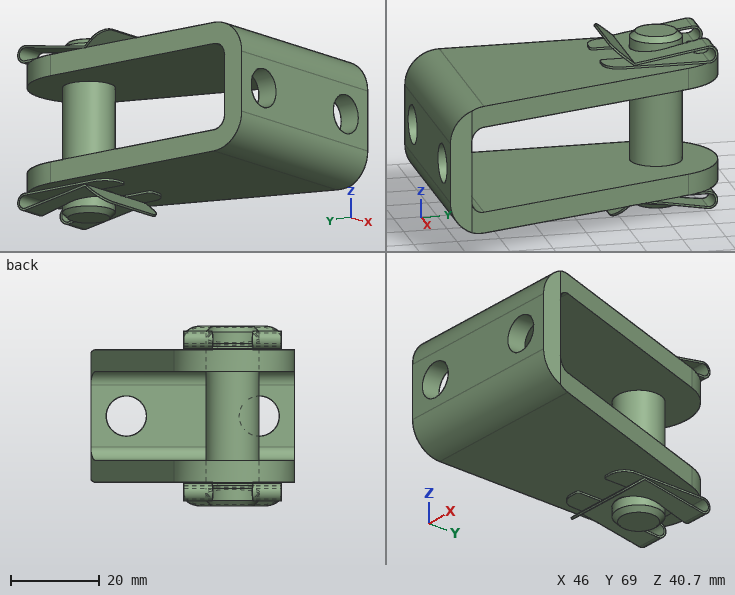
import cadquery as cq
import math


bracket_height = 30.0
wall = 4.95
bend_outer_radius = 8.0
bend_inner_radius = bend_outer_radius - wall
bracket_width = 46.0
bracket_length = 68.95
nose_radius = 14.0
half_height = bracket_height / 2
left_x = -nose_radius
right_x = left_x + bracket_width
back_y = nose_radius - bracket_length
straight_edge = 4.95

mount_hole_diameter = 9.0
mount_hole_offset = 8.0
mount_hole_spacing = 30.0

pin_diameter = 12.0
pin_length = 40.55
pin_chamfer = 1.25
groove_diameter = 9.0
groove_width = 1.4

overall_height = 40.7
clip_width = 22.05
sheet = 0.5
clip_gap = 0.2
plate_end_y = -14.15
plate_corner_radius = 4.0
slot_corner_radius = 0.8
loop_y = 9.8
loop_outer_radius = 2.0
loop_inner_radius = loop_outer_radius - sheet
leg_slope = math.radians(9.5)
lip_slope = math.radians(39.7)
lip_bend_y = -7.6
lip_corner_radius = 4.0
head_hole_radius = 6.1
opening_end_half_width = 4.4
plate_front_radius = 8.75
plate_front_fillet = 0.95
plate_bottom = half_height + clip_gap
plate_top = plate_bottom + sheet


def make_bracket():
    channel = (
        cq.Workplane("XY")
        .box(bracket_width, bracket_length, bracket_height)
        .edges("|X and <Y").fillet(bend_outer_radius)
    )
    inside = (
        cq.Workplane("XY")
        .box(bracket_width, bracket_length, bracket_height - 2 * wall)
        .edges("|X and <Y").fillet(bend_inner_radius)
        .translate((0, wall, 0))
    )
    channel = channel.cut(inside).translate(
        (left_x + bracket_width / 2, back_y + bracket_length / 2, 0)
    )

    corner_y = back_y + straight_edge
    corner_distance = math.hypot(right_x, corner_y)
    tangent_angle = math.atan2(corner_y, right_x) + math.acos(nose_radius / corner_distance)
    tangent_point = (nose_radius * math.cos(tangent_angle), nose_radius * math.sin(tangent_angle))
    plan = (
        cq.Workplane("XY", origin=(0, 0, -half_height))
        .moveTo(left_x, back_y)
        .lineTo(right_x, back_y)
        .lineTo(right_x, corner_y)
        .lineTo(*tangent_point)
        .threePointArc((0, nose_radius), (left_x, 0))
        .close()
        .extrude(bracket_height)
    )
    pin_hole = cq.Workplane("XY").circle(pin_diameter / 2).extrude(half_height, both=True)
    first_hole_x = left_x + mount_hole_offset
    mount_holes = (
        cq.Workplane("XZ", origin=(0, back_y, 0))
        .pushPoints([(first_hole_x, 0), (first_hole_x + mount_hole_spacing, 0)])
        .circle(mount_hole_diameter / 2)
        .extrude(-wall)
    )
    return channel.intersect(plan).cut(pin_hole).cut(mount_holes)


def make_pin():
    pin = (
        cq.Workplane("XY")
        .circle(pin_diameter / 2)
        .extrude(pin_length / 2, both=True)
        .faces("<Z or >Z").chamfer(pin_chamfer)
    )
    for groove_start in (half_height, -half_height - groove_width):
        groove = (
            cq.Workplane("XY", origin=(0, 0, groove_start))
            .circle(pin_diameter / 2)
            .circle(groove_diameter / 2)
            .extrude(groove_width)
        )
        pin = pin.cut(groove)
    return pin


def make_clip_strip():
    """Bent strip: flat plate, loop, sloping leg and turned-up lip."""
    loop_z = plate_bottom + loop_outer_radius

    def loop_point(radius, angle):
        return (loop_y + radius * math.cos(angle), loop_z + radius * math.sin(angle))

    leg_angle = math.pi / 2 + leg_slope
    middle_angle = leg_slope / 2
    leg_start = loop_point(loop_inner_radius, leg_angle)
    bend_z = leg_start[1] - (leg_start[0] - lip_bend_y) * math.tan(leg_slope)

    mitre = sheet / math.cos((leg_slope + lip_slope) / 2)
    mitre_angle = (lip_slope - leg_slope) / 2
    bend_top = (lip_bend_y + mitre * math.sin(mitre_angle), bend_z + mitre * math.cos(mitre_angle))

    lip_top_z = overall_height / 2
    lip_rise = lip_top_z - sheet * math.cos(lip_slope) - bend_z
    lip_end = (lip_bend_y - lip_rise / math.tan(lip_slope), bend_z + lip_rise)
    lip_end_top = (lip_end[0] + sheet * math.sin(lip_slope), lip_top_z)

    strip = (
        cq.Workplane("YZ")
        .moveTo(plate_end_y, plate_bottom)
        .lineTo(loop_y, plate_bottom)
        .threePointArc(
            loop_point(loop_outer_radius, middle_angle), loop_point(loop_outer_radius, leg_angle)
        )
        .lineTo(*bend_top)
        .lineTo(*lip_end_top)
        .lineTo(*lip_end)
        .lineTo(lip_bend_y, bend_z)
        .lineTo(*leg_start)
        .threePointArc(
            loop_point(loop_inner_radius, middle_angle), (loop_y, plate_top)
        )
        .lineTo(plate_end_y, plate_top)
        .close()
        .extrude(clip_width / 2, both=True)
    )
    lip_direction = cq.Vector(0, -math.cos(lip_slope), math.sin(lip_slope))
    lip_corners = strip.faces(cq.selectors.DirectionMinMaxSelector(lip_direction)).edges("not |X")
    strip = strip.newObject(lip_corners.vals()).fillet(lip_corner_radius)
    return strip.faces("<Y").edges("|Z").fillet(plate_corner_radius)


def make_plate_slot():
    """Round-ended slot that slides into the pin groove, flared by rounded corners."""
    half_width = groove_diameter / 2
    return (
        cq.Workplane("XY", origin=(0, 0, plate_bottom))
        .moveTo(half_width, 0)
        .threePointArc((0, half_width), (-half_width, 0))
        .lineTo(-half_width, plate_end_y + slot_corner_radius)
        .radiusArc((-half_width - slot_corner_radius, plate_end_y), slot_corner_radius)
        .lineTo(half_width + slot_corner_radius, plate_end_y)
        .radiusArc((half_width, plate_end_y + slot_corner_radius), slot_corner_radius)
        .close()
        .extrude(sheet)
    )


def make_loop_opening(base_z):
    """Tapered opening from the pin axis out to the loop tips."""
    tip_y = loop_y + loop_outer_radius
    return (
        cq.Workplane("XY", origin=(0, 0, base_z))
        .polyline([
            (-head_hole_radius, 0),
            (head_hole_radius, 0),
            (opening_end_half_width, tip_y),
            (-opening_end_half_width, tip_y),
        ])
        .close()
        .extrude(overall_height / 2 - base_z)
    )


def make_clip():
    head_hole = (
        cq.Workplane("XY", origin=(0, 0, plate_top))
        .circle(head_hole_radius)
        .extrude(overall_height / 2 - plate_top)
    )
    plate_front = (
        cq.Workplane("XY", origin=(0, 0, plate_bottom))
        .circle(plate_front_radius)
        .extrude(overall_height / 2 - plate_bottom)
    )
    front_opening = (
        make_loop_opening(plate_bottom)
        .cut(plate_front)
        .edges("|Z and <Y").fillet(plate_front_fillet)
    )
    return (
        make_clip_strip()
        .cut(make_plate_slot())
        .cut(head_hole)
        .cut(make_loop_opening(plate_top))
        .cut(front_opening)
    )


bracket = make_bracket()
pin = make_pin()
upper_clip = make_clip()
clips = [upper_clip, upper_clip.mirror("XY")]

result = cq.Compound.makeCompound(
    [bracket.solids().val(), pin.solids().val(), *[clip.solids().val() for clip in clips]]
)